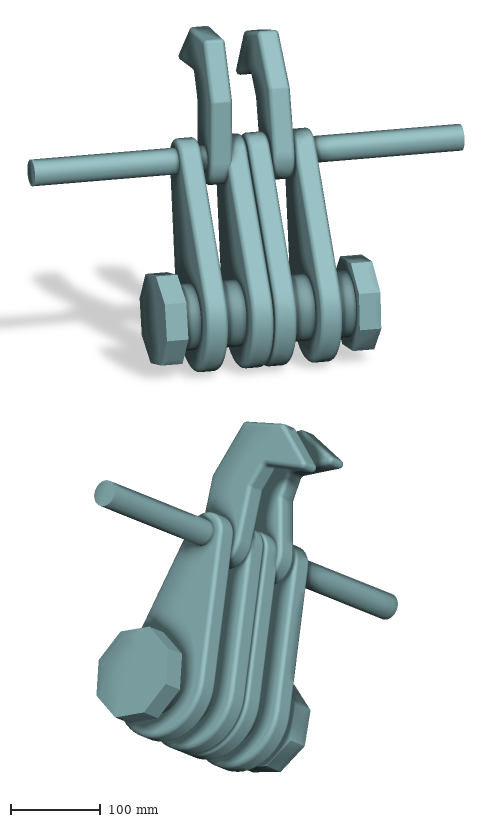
import cadquery as cq
import math

rod_diameter = 30.0
rod_length = 500.0

shank_diameter = 75.0
bolt_length = 250.0
bolt_middle_y = -2.0
head_thickness = 25.0
head_sides = 8
head_flats = 100.0
near_head_turn = 34.0
far_head_turn = 27.0

plate_thickness = 25.0
edge_radius = 5.0
arm_rod_end_radius = 25.0
arm_bolt_end_radius = 62.5
bolt_distance = 175.0
arm_swing = 21.3

pair_middles_y = [36.5, -43.5]
pair_spacing = 53.0

far_claw_y = 36.5
near_claw_y = -36.5
far_claw_tilt = 15.0
near_claw_tilt = 0.0

claw_half_width = 30.0
back_knee_z = 72.5
inner_knee_z = 62.5
claw_top_z = 136.5
crown_back_x = 0.0
crown_front_x = -58.5
tip_x = -110.5
tip_z = 86.0
throat_x = -42.5
throat_z = 89.5

bolt_x = bolt_distance * math.sin(math.radians(arm_swing))
bolt_z = -bolt_distance * math.cos(math.radians(arm_swing))


def plane_at(y):
    """XZ plane at the given Y, extruding toward -Y."""
    return cq.Workplane("XZ", origin=(0, y, 0))


def make_rod():
    return plane_at(rod_length / 2).circle(rod_diameter / 2).extrude(rod_length)


def make_head(front_y, turn):
    """Octagonal head whose corners are turned by an angle from +X."""
    corner_diameter = head_flats / math.cos(math.pi / head_sides)
    return (
        plane_at(front_y + head_thickness)
        .polygon(head_sides, corner_diameter)
        .extrude(head_thickness)
        .rotate((0, 0, 0), (0, 1, 0), -turn)
        .translate((bolt_x, 0, bolt_z))
    )


def make_bolt():
    near_y = bolt_middle_y - bolt_length / 2
    far_y = bolt_middle_y + bolt_length / 2
    shank = (
        plane_at(far_y - head_thickness)
        .center(bolt_x, bolt_z)
        .circle(shank_diameter / 2)
        .extrude(bolt_length - 2 * head_thickness)
    )
    near_head = make_head(near_y, near_head_turn)
    far_head = make_head(far_y - head_thickness, far_head_turn)
    return shank.union(near_head).union(far_head)


def make_arm(middle_y):
    """Plate bounded by two end arcs and their common tangents."""
    tangent_lift = math.asin((arm_bolt_end_radius - arm_rod_end_radius) / bolt_distance)
    across = math.cos(tangent_lift)
    up = math.sin(tangent_lift)
    rod_end_x = arm_rod_end_radius * across
    rod_end_z = arm_rod_end_radius * up
    bolt_end_x = arm_bolt_end_radius * across
    bolt_end_z = arm_bolt_end_radius * up - bolt_distance
    return (
        plane_at(middle_y + plate_thickness / 2)
        .moveTo(rod_end_x, rod_end_z)
        .threePointArc((0, arm_rod_end_radius), (-rod_end_x, rod_end_z))
        .lineTo(-bolt_end_x, bolt_end_z)
        .threePointArc((0, -bolt_distance - arm_bolt_end_radius), (bolt_end_x, bolt_end_z))
        .close()
        .extrude(plate_thickness)
        .faces("|Y")
        .edges()
        .fillet(edge_radius)
        .rotate((0, 0, 0), (0, 1, 0), -arm_swing)
    )


def make_claw(middle_y, tilt):
    """Hooked plate, rounded on every edge, tilted forward about the rod."""
    return (
        plane_at(middle_y + plate_thickness / 2)
        .moveTo(claw_half_width, 0)
        .lineTo(claw_half_width, back_knee_z)
        .lineTo(crown_back_x, claw_top_z)
        .lineTo(crown_front_x, claw_top_z)
        .lineTo(tip_x, tip_z)
        .lineTo(throat_x, throat_z)
        .lineTo(-claw_half_width, inner_knee_z)
        .lineTo(-claw_half_width, 0)
        .threePointArc((0, -claw_half_width), (claw_half_width, 0))
        .close()
        .extrude(plate_thickness)
        .edges("|Y")
        .fillet(edge_radius)
        .faces("|Y")
        .edges()
        .fillet(edge_radius)
        .rotate((0, 0, 0), (0, 1, 0), -tilt)
    )


rod = make_rod()
bolt = make_bolt()

far_claw = make_claw(far_claw_y, far_claw_tilt)
near_claw = make_claw(near_claw_y, near_claw_tilt)

arms = []
for pair_middle_y in pair_middles_y:
    for side in (1, -1):
        arm = make_arm(pair_middle_y + side * pair_spacing / 2)
        arms.append(arm.cut(near_claw).cut(rod).cut(bolt))

claws = [claw.cut(rod) for claw in (far_claw, near_claw)]

result = cq.Compound.makeCompound(
    [rod.val(), bolt.val()] + [arm.val() for arm in arms] + [claw.val() for claw in claws]
)